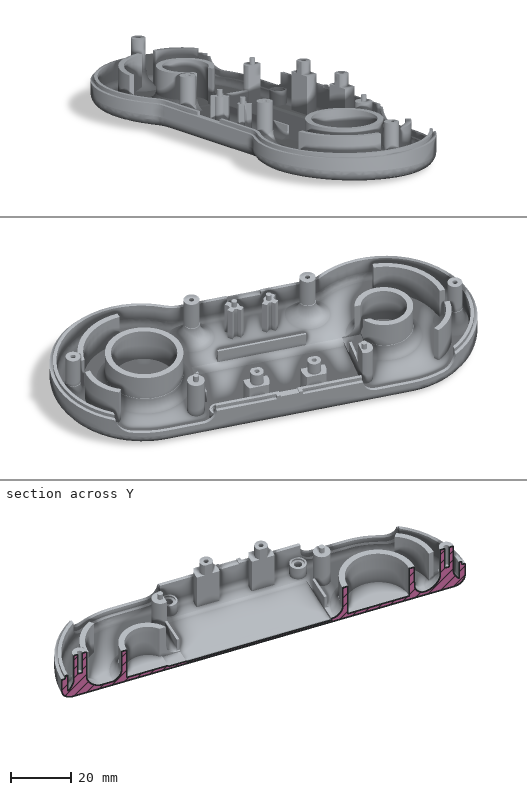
import cadquery as cq
import math

LENGTH = 145.5
WIDTH = 61.0
HEIGHT = 19.5

LOBE_R = WIDTH / 2
LOBE_X = LENGTH / 2 - LOBE_R
WAIST_Y = -24.7
WAIST_FILLET = 7.4

RIM_Z = 10.2
LIP_Z = 11.5
RIM_W = 1.2
LIP_W = 1.2
WALL = RIM_W + LIP_W
FLOOR_T = 1.7
FLOOR_TILT = 2.3
OUTER_FILLET = 4.0
LOW_Y = LOBE_R - OUTER_FILLET + OUTER_FILLET * math.tan(math.radians(FLOOR_TILT / 2))
INNER_FILLET = 2.0

SUPPORT_Z = 15.1
NIB_Z = 17.3
NIB_D = 1.9
SCREW_HOLE_D = 1.7
SCREW_HOLE_DEPTH = 8.7

RING_X = 41.5
RING_Y = 0.6
RING_WALL = 2.0
RING_FLARE_W = 2.9
RING_FLARE_H = 3.9
LEFT_RING_D = 19.5
RIGHT_RING_D = 26.0

RIB_OUTER_R = 22.0
RIB_W = 1.9
RIB_SPANS = ((10, 51, 0.7), (-83, -6, 0.3))

END_POST_X = 66.0
END_POST_D = 5.0
FRONT_POST_X = 20.0
FRONT_POST_Y = -16.0
FRONT_POST_D = 5.4
POST_FLARE_W = 4.8
POST_FLARE_H = 6.0

REAR_POST_X = 9.9
REAR_POST_Y = 25.3
REAR_POST_D = 4.5
BLOCK_FRONT_Y = 23.4
BLOCK_FRONT_W = 8.1
BLOCK_BACK_W = 6.7
BLOCK_SIDE_BULGE = 0.5

SOCKET_X = 23.3
SOCKET_Y = 25.5
SOCKET_D = 5.8
SOCKET_Z = 6.5
SOCKET_COUNTERBORE_D = 4.5
SOCKET_COUNTERBORE_DEPTH = 0.6
SOCKET_HOLE_D = 2.8
SOCKET_HOLE_DEPTH = 2.9

PEG_X = 29.1
PEG_Y = 19.0
PEG_D = 5.8

STAR_X = 6.0
STAR_Y = -13.8
STAR_CORE_D = 3.5
STAR_ARM_W = 1.9
STAR_REACH = 3.0

POCKET_LEFT = -27.8
POCKET_RIGHT = 24.5
POCKET_FRONT = -1.6
POCKET_BACK = 21.8
POCKET_FRONT_SLOPE = 2.8
POCKET_BACK_SLOPE = 1.5
POCKET_Z = 1.6

CHANNEL_LEFT = -34.3
CHANNEL_FRONT = -2.0
CHANNEL_BACK = 5.2
CHANNEL_DEPTH = 0.5

GUIDE_T = 0.9
GUIDE_H = 4.7
FRONT_GUIDE_L = 30.5
FRONT_GUIDE_FILLET = 2.5
SIDE_GUIDE_FRONT = 5.8
SIDE_GUIDE_BACK = 16.0
SIDE_GUIDE_FILLET = 0.9

NOTCH_Z = 5.8
NOTCH_LEDGE_DROP = 1.9
NOTCH_INNER_X = 25.3
NOTCH_OUTER_X = 58.8
NOTCH_CORNER_R = 4.7
NOTCH_Y = 21.8
TAB_W = 9.0
TAB_RECESS_W = 6.4
TAB_RECESS_DEPTH = 0.5
LIP_GAP_W = 11.6

SIDES = (-1, 1)
OVERLAP = 0.6


def underside(y):
    return (LOW_Y - y) * math.tan(math.radians(FLOOR_TILT))


def floor(y):
    return underside(y) + FLOOR_T


def outline(inset=0.0):
    """Two lobes joined by a straight back and a recessed straight front."""
    lobe_r = LOBE_R - inset
    blend_r = WAIST_FILLET + inset
    front = WAIST_Y + inset
    blend_y = front - blend_r
    blend_x = LOBE_X - math.sqrt((lobe_r + blend_r) ** 2 - blend_y ** 2)
    blend_angle = math.atan2(LOBE_X - blend_x, -blend_y)
    touch_x = blend_x + blend_r * math.sin(blend_angle)
    touch_y = blend_y + blend_r * math.cos(blend_angle)
    return (
        cq.Workplane("XY")
        .moveTo(-LOBE_X, lobe_r)
        .lineTo(LOBE_X, lobe_r)
        .tangentArcPoint((LOBE_X + lobe_r, 0), relative=False)
        .tangentArcPoint((touch_x, touch_y), relative=False)
        .tangentArcPoint((blend_x, front), relative=False)
        .lineTo(-blend_x, front)
        .tangentArcPoint((-touch_x, touch_y), relative=False)
        .tangentArcPoint((-LOBE_X - lobe_r, 0), relative=False)
        .tangentArcPoint((-LOBE_X, lobe_r), relative=False)
        .close()
    )


def box(x0, x1, y0, y1, z0, z1):
    return cq.Workplane("XY").box(x1 - x0, y1 - y0, z1 - z0, centered=False).translate((x0, y0, z0))


def cylinder(x, y, z0, z1, diameter):
    return cq.Workplane("XY", origin=(x, y, z0)).circle(diameter / 2).extrude(z1 - z0)


def side_profile(points, x0, x1):
    """Extrude a polygon of (y, z) points from x0 to x1."""
    return cq.Workplane("YZ", origin=(x0, 0, 0)).polyline(points).close().extrude(x1 - x0)


def tilted_body(inset, lift, top, fillet):
    """Outline raised to a flat top, over a sloping base with rounded edges."""
    margin = LENGTH / 2
    body = outline(inset).extrude(top + margin).translate((0, 0, -margin))
    below = side_profile(
        [
            (-margin, -LENGTH),
            (margin, -LENGTH),
            (margin, underside(margin) + lift),
            (-margin, underside(-margin) + lift),
        ],
        -LENGTH,
        LENGTH,
    )
    return body.cut(below).faces("<Z").edges().fillet(fillet)


def tilt_to_floor(feature, x, y):
    """Stand a feature built at the origin squarely on the sloping floor."""
    return feature.rotate((0, 0, 0), (1, 0, 0), -FLOOR_TILT).translate((x, y, floor(y)))


def flare(x, y, inner_r, outer_r, width, height):
    """Concave skirt around a round feature, meeting its side smoothly."""
    arc_r = (width ** 2 + height ** 2) / (2 * width)
    skirt = (
        cq.Workplane("XZ")
        .moveTo(inner_r, -OVERLAP)
        .lineTo(outer_r + width, -OVERLAP)
        .lineTo(outer_r + width, 0)
        .radiusArc((outer_r, height), arc_r)
        .lineTo(inner_r, height)
        .close()
        .revolve(360, (0, 0, 0), (0, 1, 0))
    )
    return tilt_to_floor(skirt, x, y)


def lip():
    ring = outline(RIM_W).extrude(LIP_Z).cut(outline(WALL).extrude(LIP_Z))
    ring = ring.cut(box(-LENGTH, LENGTH, -WIDTH, WIDTH, 0, RIM_Z - OVERLAP))
    return ring.cut(box(-LIP_GAP_W / 2, LIP_GAP_W / 2, -WIDTH, 0, RIM_Z, LIP_Z))


def shoulder_notch(side):
    """Lowered stretch of the back rim with a rounded rise at each end."""
    r = NOTCH_CORNER_R
    high = NOTCH_Z + r
    clear = HEIGHT
    return (
        cq.Workplane("XZ", origin=(0, NOTCH_Y, 0))
        .moveTo(side * NOTCH_INNER_X, clear)
        .lineTo(side * NOTCH_INNER_X, high)
        .radiusArc((side * (NOTCH_INNER_X + r), NOTCH_Z), -side * r)
        .lineTo(side * (NOTCH_OUTER_X - r), NOTCH_Z)
        .radiusArc((side * NOTCH_OUTER_X, high), -side * r)
        .lineTo(side * NOTCH_OUTER_X, clear)
        .close()
        .extrude(-WIDTH)
    )


def shell(outer):
    body = outer.cut(tilted_body(WALL, FLOOR_T, HEIGHT, INNER_FILLET)).union(lip())
    inner_zone = outline(RIM_W).extrude(HEIGHT)
    for side in SIDES:
        notch = shoulder_notch(side)
        ledge = notch.translate((0, 0, -NOTCH_LEDGE_DROP)).intersect(inner_zone)
        body = body.cut(notch).cut(ledge)
    half_tab = TAB_W / 2
    half_recess = TAB_RECESS_W / 2
    tab = box(-half_tab, half_tab, LOBE_R - WALL, LOBE_R, RIM_Z - OVERLAP, LIP_Z)
    recess = box(-half_recess, half_recess, 0, WIDTH, LIP_Z - TAB_RECESS_DEPTH, LIP_Z)
    return body.union(tab).cut(recess)


def ring(x, inner_d, outer_d):
    base = floor(RING_Y) - OVERLAP
    tube = flare(x, RING_Y, inner_d / 2, outer_d / 2, RING_FLARE_W, RING_FLARE_H)
    tube = tube.union(cylinder(x, RING_Y, base, SUPPORT_Z, outer_d))
    return tube.cut(cylinder(x, RING_Y, 0, HEIGHT, inner_d))


def curved_rib(side, start, end, bulge):
    """Upright rib around a ring, between two angles from the outward X axis."""
    def polar(radius, angle):
        turn = math.radians(angle)
        return (side * (RING_X + radius * math.cos(turn)), RING_Y + radius * math.sin(turn))

    middle = (start + end) / 2
    inner_r = RIB_OUTER_R - RIB_W
    base = underside(RING_Y) + FLOOR_T / 2
    return (
        cq.Workplane("XY", origin=(0, 0, base))
        .moveTo(*polar(inner_r, start))
        .lineTo(*polar(RIB_OUTER_R, start))
        .threePointArc(polar(RIB_OUTER_R + bulge, middle), polar(RIB_OUTER_R, end))
        .lineTo(*polar(inner_r, end))
        .threePointArc(polar(inner_r + bulge, middle), polar(inner_r, start))
        .close()
        .extrude(SUPPORT_Z - base)
    )


def screw_hole(x, y):
    return cylinder(x, y, HEIGHT - SCREW_HOLE_DEPTH, HEIGHT, SCREW_HOLE_D)


def screw_post(x, y, diameter):
    skirt = flare(x, y, 0, diameter / 2, POST_FLARE_W, POST_FLARE_H)
    return skirt.union(cylinder(x, y, floor(y) - OVERLAP, HEIGHT, diameter))


def rear_block(side):
    """Post on a block against the back wall, cut flush with the block front."""
    base = floor(BLOCK_FRONT_Y) - OVERLAP
    back_y = LOBE_R - WALL
    mid_y = (BLOCK_FRONT_Y + back_y) / 2
    center = side * REAR_POST_X
    front_x = BLOCK_FRONT_W / 2
    back_x = BLOCK_BACK_W / 2
    bulge_x = (front_x + back_x) / 2 + BLOCK_SIDE_BULGE
    block = (
        cq.Workplane("XY", origin=(center, 0, base))
        .moveTo(-front_x, BLOCK_FRONT_Y)
        .lineTo(front_x, BLOCK_FRONT_Y)
        .threePointArc((bulge_x, mid_y), (back_x, back_y))
        .lineTo(-back_x, back_y)
        .threePointArc((-bulge_x, mid_y), (-front_x, BLOCK_FRONT_Y))
        .close()
        .extrude(SUPPORT_Z - base)
    )
    post = cylinder(center, REAR_POST_Y, base, HEIGHT, REAR_POST_D)
    ahead = box(center - front_x, center + front_x, 0, BLOCK_FRONT_Y, 0, HEIGHT)
    return block.union(post.cut(ahead))


def socket(side):
    x = side * SOCKET_X
    body = cylinder(x, SOCKET_Y, floor(SOCKET_Y) - OVERLAP, SOCKET_Z, SOCKET_D)
    body = body.cut(
        cylinder(x, SOCKET_Y, SOCKET_Z - SOCKET_COUNTERBORE_DEPTH, SOCKET_Z, SOCKET_COUNTERBORE_D)
    )
    return body.cut(cylinder(x, SOCKET_Y, SOCKET_Z - SOCKET_HOLE_DEPTH, SOCKET_Z, SOCKET_HOLE_D))


def peg(side):
    x = side * PEG_X
    base = floor(PEG_Y) - OVERLAP
    body = cylinder(x, PEG_Y, base, SUPPORT_Z, PEG_D)
    return body.union(cylinder(x, PEG_Y, base, NIB_Z, NIB_D))


def star_post(side):
    """Core with three diagonal arms and a locating nib on top."""
    x = side * STAR_X
    base = floor(STAR_Y) - OVERLAP
    body = cylinder(x, STAR_Y, base, SUPPORT_Z, STAR_CORE_D)
    body = body.union(cylinder(x, STAR_Y, base, NIB_Z, NIB_D))
    arm = box(0, STAR_REACH, -STAR_ARM_W / 2, STAR_ARM_W / 2, base, SUPPORT_Z)
    for angle in (45, 135, 270 + 45 * side):
        body = body.union(arm.rotate((0, 0, 0), (0, 0, 1), angle).translate((x, STAR_Y, 0)))
    return body


def pocket():
    """Sunken bay with sloping front and back walls and square ends."""
    front_floor = POCKET_FRONT + POCKET_FRONT_SLOPE
    back_floor = POCKET_BACK - POCKET_BACK_SLOPE
    return side_profile(
        [
            (POCKET_FRONT, floor(POCKET_FRONT)),
            (front_floor, POCKET_Z),
            (back_floor, POCKET_Z),
            (POCKET_BACK, floor(POCKET_BACK)),
            (POCKET_BACK, HEIGHT),
            (POCKET_FRONT, HEIGHT),
        ],
        POCKET_LEFT,
        POCKET_RIGHT,
    )


def channel(x0, depth):
    """Opening from x0 to the pocket, through the wall of the left ring."""
    return side_profile(
        [
            (CHANNEL_FRONT, floor(CHANNEL_FRONT) - depth),
            (CHANNEL_BACK, floor(CHANNEL_BACK) - depth),
            (CHANNEL_BACK, HEIGHT),
            (CHANNEL_FRONT, HEIGHT),
        ],
        x0,
        POCKET_LEFT,
    )


def guide(length, fillet):
    """Plate along X with its face at Y = 0 and a concave foot towards -Y."""
    foot = GUIDE_T + fillet
    return (
        cq.Workplane("YZ", origin=(-length / 2, 0, 0))
        .moveTo(0, -OVERLAP)
        .lineTo(0, GUIDE_H)
        .lineTo(-GUIDE_T, GUIDE_H)
        .lineTo(-GUIDE_T, fillet)
        .radiusArc((-foot, 0), fillet)
        .lineTo(-foot, -OVERLAP)
        .close()
        .extrude(length)
    )


def pocket_guides():
    side_y = (SIDE_GUIDE_FRONT + SIDE_GUIDE_BACK) / 2
    side = guide(SIDE_GUIDE_BACK - SIDE_GUIDE_FRONT, SIDE_GUIDE_FILLET)
    left = side.rotate((0, 0, 0), (0, 0, 1), -90)
    right = side.rotate((0, 0, 0), (0, 0, 1), 90)
    front = tilt_to_floor(guide(FRONT_GUIDE_L, FRONT_GUIDE_FILLET), 0, POCKET_FRONT)
    front = front.union(tilt_to_floor(left, POCKET_LEFT, side_y))
    return front.union(tilt_to_floor(right, POCKET_RIGHT, side_y))


outer_body = tilted_body(0, 0, RIM_Z, OUTER_FILLET)
result = shell(outer_body)

inside = outline(RIM_W).extrude(HEIGHT)
for ring_side, ring_d in zip(SIDES, (LEFT_RING_D, RIGHT_RING_D)):
    result = result.union(ring(ring_side * RING_X, ring_d - 2 * RING_WALL, ring_d))

result = result.union(pocket_guides())
for side in SIDES:
    end_post = screw_post(side * END_POST_X, RING_Y, END_POST_D)
    front_post = screw_post(side * FRONT_POST_X, FRONT_POST_Y, FRONT_POST_D)
    result = result.union(end_post.intersect(inside)).union(front_post.intersect(inside))
    for span in RIB_SPANS:
        result = result.union(curved_rib(side, *span))
    for feature in (rear_block(side), socket(side), peg(side), star_post(side)):
        result = result.union(feature)
    result = result.cut(screw_hole(side * END_POST_X, RING_Y))
    result = result.cut(screw_hole(side * FRONT_POST_X, FRONT_POST_Y))
    result = result.cut(screw_hole(side * REAR_POST_X, REAR_POST_Y))

result = result.cut(pocket()).cut(channel(-RING_X, 0)).cut(channel(CHANNEL_LEFT, CHANNEL_DEPTH))